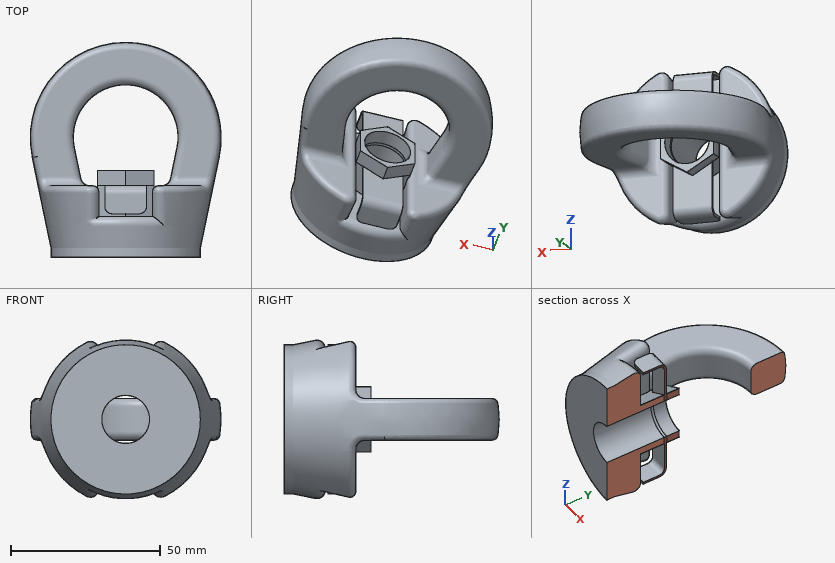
import cadquery as cq
import math

base_radius = 25.0
base_height = 3.0
eye_radius = 32.0
eye_center_y = 40.0
eye_thickness = 14.0
eye_edge_radius = 2.0
opening_radius = 17.5
opening_center_y = 40.25
opening_edge_radius = 2.75
shoulder_y = 24.0
shoulder_blend_radius = 3.0
bore_diameter = 16.0

slot_width = 18.0
slot_floor_y = 13.7
slot_edge_radius = 2.75

hex_across_flats = 19.0
nut_height = 5.1

clip_width = 14.0
clip_thickness = 1.0
clip_half_span = base_radius
clip_end_y = 14.6
clip_bend_radius = 3.0
clip_corner_radius = 2.5
clip_ring_diameter = 18.0

overall_height = eye_center_y + eye_radius
half_thickness = eye_thickness / 2
clear_span = 2 * overall_height
tolerance = 0.01
hex_across_corners = hex_across_flats / math.cos(math.radians(30))

rim_rise = eye_center_y - base_height
flank_angle = math.asin(eye_radius / math.hypot(base_radius, rim_rise)) - math.atan2(base_radius, rim_rise)


def tangent_point(radius, center_y):
    """Point where a line with the flank's slope leaves a circle centred on the axis."""
    return (radius * math.cos(flank_angle), center_y - radius * math.sin(flank_angle))


def hexagon(start_y, height):
    """Hexagonal prism along Y, with corners pointing along Z and flats facing X."""
    return (
        cq.Workplane("XZ", origin=(0, start_y, 0))
        .transformed(rotate=(0, 0, 90))
        .polygon(6, hex_across_corners)
        .extrude(-height)
    )


def cylinder(diameter, start_y, height):
    """Round prism along Y."""
    return cq.Workplane("XZ", origin=(0, start_y, 0)).circle(diameter / 2).extrude(-height)


def turned_blank():
    """Flange, cone and sphere as one body of revolution."""
    mid_angle = (math.pi / 2 - flank_angle) / 2
    mid_point = (
        eye_radius * math.cos(mid_angle),
        eye_center_y + eye_radius * math.sin(mid_angle),
    )
    return (
        cq.Workplane("XY")
        .lineTo(base_radius, 0)
        .lineTo(base_radius, base_height)
        .lineTo(*tangent_point(eye_radius, eye_center_y))
        .threePointArc(mid_point, (0, overall_height))
        .close()
        .revolve(360, (0, 0, 0), (0, 1, 0))
    )


def side_relief(side):
    """Material beside the eye, above the shoulder, with a rounded root."""
    root = half_thickness + shoulder_blend_radius
    blend_mid = shoulder_blend_radius * (1 - math.sqrt(0.5))
    return (
        cq.Workplane("YZ")
        .moveTo(shoulder_y, side * clear_span)
        .lineTo(shoulder_y, side * root)
        .threePointArc(
            (shoulder_y + blend_mid, side * (half_thickness + blend_mid)),
            (shoulder_y + shoulder_blend_radius, side * half_thickness),
        )
        .lineTo(clear_span, side * half_thickness)
        .lineTo(clear_span, side * clear_span)
        .close()
        .extrude(clear_span, both=True)
    )


def eye_opening():
    """Round opening with legs converging to a flat floor."""
    leg_x, leg_y = tangent_point(opening_radius, opening_center_y)
    floor_x = leg_x - (leg_y - shoulder_y) * math.tan(flank_angle)
    opening = (
        cq.Workplane("XY")
        .moveTo(-floor_x, shoulder_y)
        .lineTo(floor_x, shoulder_y)
        .lineTo(leg_x, leg_y)
        .threePointArc((0, opening_center_y + opening_radius), (-leg_x, leg_y))
        .close()
        .extrude(clear_span, both=True)
    )
    floor_corners = opening.faces("<Y").edges("|Z")
    return floor_corners.fillet(shoulder_blend_radius)


def slot():
    """Slot across the shoulder along Z, open at the top."""
    depth = shoulder_y - slot_floor_y
    return cq.Workplane("XY", origin=(0, slot_floor_y + depth / 2, 0)).box(slot_width, depth, clear_span)


def edges_where(body, condition):
    """Edges of a body whose bounding box meets a condition."""
    return [edge for edge in body.edges().vals() if condition(edge.BoundingBox())]


def near_side(box):
    """Smallest distance of an edge from the plane Z = 0; zero if it crosses the plane."""
    return max(box.zmin, -box.zmax, 0)


def reach(box):
    """Largest distance of an edge from the plane X = 0."""
    return max(-box.xmin, box.xmax)


def is_slot_mouth_edge(box):
    in_slot = reach(box) < slot_width / 2 + tolerance
    below_top = slot_floor_y - tolerance < box.ymin < shoulder_y - tolerance
    return in_slot and below_top and near_side(box) > hex_across_corners / 2


def is_slot_top_edge(box):
    in_slot = reach(box) < slot_width / 2 + tolerance
    return in_slot and abs(box.ymin - shoulder_y) < tolerance and near_side(box) == 0


def is_outer_edge(box):
    on_outside = box.ymin > shoulder_y - tolerance and reach(box) > base_radius
    off_center = near_side(box) > half_thickness - tolerance
    straight_across = box.ylen < tolerance and box.zlen < tolerance
    return on_outside and off_center and not straight_across


def is_opening_edge(box):
    above_floor = box.ymax > shoulder_y + tolerance
    on_opening = reach(box) < opening_radius + tolerance
    return above_floor and on_opening and near_side(box) > half_thickness - tolerance


def housing_body():
    """Lifting eye on its conical base, with rounded edges and a hexagonal seat in the slot."""
    body = turned_blank()
    for side in (1, -1):
        body = body.cut(side_relief(side))
    body = body.cut(eye_opening()).cut(slot())

    roundings = (
        (slot_edge_radius, is_slot_mouth_edge),
        (eye_edge_radius, lambda box: is_outer_edge(box) or is_slot_top_edge(box)),
        (opening_edge_radius, is_opening_edge),
    )
    for radius, condition in roundings:
        body = cq.Workplane(body.val().fillet(radius, edges_where(body, condition)))

    seat = hexagon(slot_floor_y, shoulder_y - slot_floor_y)
    return body.union(seat).cut(cylinder(bore_diameter, 0, shoulder_y))


def nut_body():
    """Hexagonal nut on the seat."""
    return hexagon(shoulder_y, nut_height).cut(cylinder(bore_diameter, shoulder_y, nut_height))


def clip_body():
    """Sheet clip: a ring around the bore and two arms bent down into the slot mouths."""
    bottom_y = shoulder_y - clip_thickness
    inner_half_span = clip_half_span - clip_thickness
    arms = (
        cq.Workplane("XY", origin=(0, (shoulder_y + clip_end_y) / 2, 0))
        .box(clip_width, shoulder_y - clip_end_y, 2 * clip_half_span)
        .edges("|X and >Y")
        .fillet(clip_bend_radius)
        .edges("|Z and <Y")
        .fillet(clip_corner_radius)
    )
    underside = (
        cq.Workplane("XY", origin=(0, bottom_y / 2, 0))
        .box(clear_span, bottom_y, 2 * inner_half_span)
        .edges("|X and >Y")
        .fillet(clip_bend_radius - clip_thickness)
    )
    ring = cylinder(clip_ring_diameter, bottom_y, clip_thickness)
    bore = cylinder(bore_diameter, bottom_y, clip_thickness)
    return arms.cut(underside).union(ring).cut(bore)


clip = clip_body()
housing = housing_body().cut(clip)
nut = nut_body()

result = cq.Compound.makeCompound([body.solids().val() for body in (housing, nut, clip)])